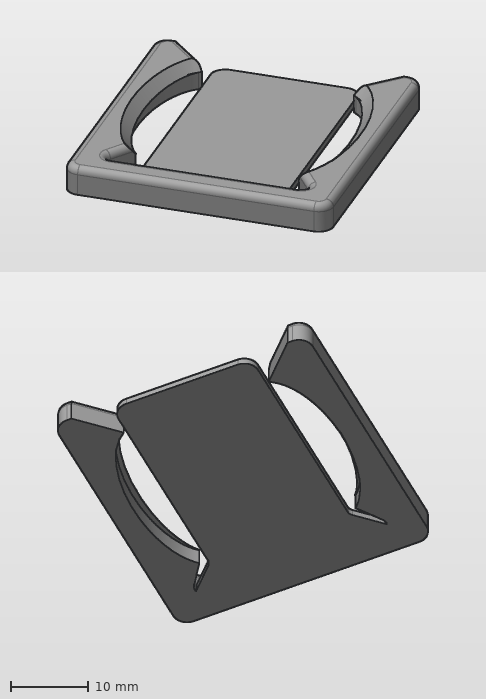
import cadquery as cq
import math

width = 36.4
length = 38.67
height = 4.0
corner_radius = 2.0
edge_fillet = 1.0
half_width = width / 2
half_length = length / 2

mouth_half_width = 15.5
window_front_y = -15.4
window_front_half_width = 14.65
undercut_angle = 54.8
rib_inner_x = 7.75
window_corner_radius = 1.0

relief_x = 8.9
relief_y = 1.55
relief_radius_x = 5.3
relief_radius_y = 13.23
relief_chamfer = 1.5
recess_radius_x = 6.1
recess_radius_y = 13.0

tongue_thickness = 1.0
tongue_half_width = 10.0
tongue_back_y = 18.65
tongue_corner_radius = 2.0
tongue_knee_y = -11.05
tongue_knee_radius = 1.0
tongue_overlap = 0.77


def mirrored_outline(right_side):
    """Closed outline from its right-hand points and their mirror images."""
    left_side = [(-x, y) for x, y in reversed(right_side)]
    return cq.Workplane("XY").polyline(right_side + left_side).close()


def make_frame():
    blank = cq.Workplane("XY").rect(width, length).extrude(height)
    blank = blank.edges("|Z").fillet(corner_radius)

    undercut_rise = (window_front_half_width - rib_inner_x) * math.tan(math.radians(undercut_angle))
    lead_in_depth = mouth_half_width - rib_inner_x
    mouth_overshoot = corner_radius
    window = mirrored_outline([
        (window_front_half_width, window_front_y),
        (rib_inner_x, window_front_y + undercut_rise),
        (rib_inner_x, half_length - lead_in_depth),
        (mouth_half_width, half_length),
        (mouth_half_width, half_length + mouth_overshoot),
    ]).extrude(height)
    window = window.edges("|Z and <Y").fillet(window_corner_radius)
    return blank.cut(window).faces(">Z").edges().fillet(edge_fillet)


def make_relief(side):
    """Elliptical through cut with a 45 degree flare above and a shallow recess below."""
    center = (side * relief_x, relief_y)
    through = (
        cq.Workplane("XY").center(*center)
        .ellipse(relief_radius_x, relief_radius_y).extrude(height)
    )
    flare = (
        cq.Workplane("XY").workplane(offset=height - relief_chamfer).center(*center)
        .ellipse(relief_radius_x, relief_radius_y)
        .workplane(offset=relief_chamfer)
        .ellipse(relief_radius_x + relief_chamfer, relief_radius_y + relief_chamfer)
        .loft(ruled=True)
    )
    recess = (
        cq.Workplane("XY").center(*center)
        .ellipse(recess_radius_x, recess_radius_y).extrude(height - relief_chamfer)
    )
    return through.union(flare).union(recess)


def make_tongue():
    front_y = window_front_y - tongue_overlap
    front_half_width = tongue_half_width + tongue_knee_y - front_y
    tongue = mirrored_outline([
        (front_half_width, front_y),
        (tongue_half_width, tongue_knee_y),
        (tongue_half_width, tongue_back_y),
    ]).extrude(tongue_thickness)
    tongue = tongue.edges("|Z and >Y").fillet(tongue_corner_radius)
    selection_margin = 0.4
    knees = cq.selectors.BoxSelector(
        (-half_width, tongue_knee_y - selection_margin, -selection_margin),
        (half_width, tongue_knee_y + selection_margin, height),
    )
    return tongue.edges("|Z").edges(knees).fillet(tongue_knee_radius)


frame = make_frame()
for side in (-1, 1):
    frame = frame.cut(make_relief(side))

result = frame.union(make_tongue())